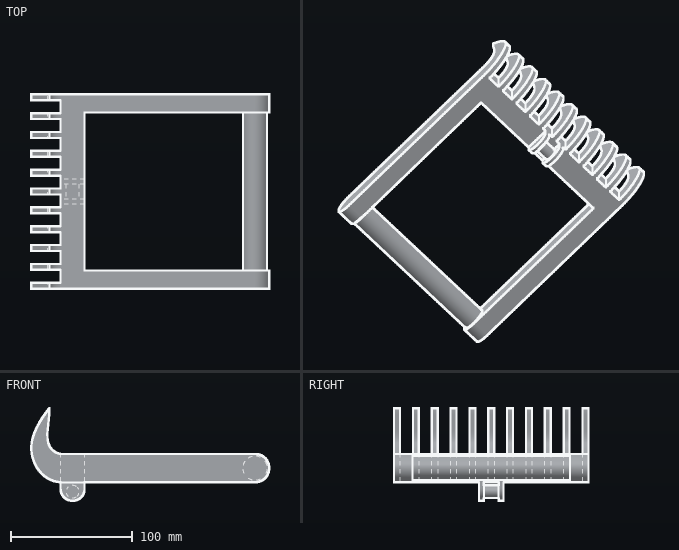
import cadquery as cq

length = 196.0
width = 160.2
frame_height = 23.5
frame_front = 24.1
front_bar_depth = 20.0
arm_width = 15.0
end_radius = frame_height / 2
end_center_x = length - end_radius
inner_width = width - 2 * arm_width

handle_radius = 10.0

prong_count = 11
prong_thickness = 5.0
prong_pitch = (width - prong_thickness) / (prong_count - 1)
prong_tip = (15.0, 61.2)
prong_belly = (0, 28.6)

lug_drop = 15.3
lug_radius = front_bar_depth / 2
lug_thickness = 4.1
lug_span = 20.2
pin_radius = 5.3
lug_center_x = frame_front + lug_radius


def y_extrude(profile, y_center, thickness):
    """Extrude an XZ profile along Y, centred on y_center."""
    return profile.extrude(thickness).translate((0, y_center + thickness / 2, 0))


def y_cylinder(x, z, radius, span):
    """Round bar along Y, centred on Y = 0."""
    return y_extrude(cq.Workplane("XZ").center(x, z).circle(radius), 0, span)


def make_arm(y_center):
    profile = (
        cq.Workplane("XZ")
        .moveTo(frame_front, 0)
        .lineTo(end_center_x, 0)
        .threePointArc((length, end_radius), (end_center_x, frame_height))
        .lineTo(frame_front, frame_height)
        .close()
    )
    return y_extrude(profile, y_center, arm_width)


def make_front_bar():
    return cq.Workplane("XY").box(
        front_bar_depth, inner_width, frame_height, centered=(False, True, False)
    ).translate((frame_front, 0, 0))


def make_prong(y_center):
    root_bottom = (frame_front, 0)
    root_top = (frame_front, frame_height)
    outer_curve = [root_bottom, (7.3, 8.6), prong_belly, (4.5, 45.0), prong_tip]
    inner_curve = [prong_tip, (13.5, 42.7), (15.7, 29.0), root_top]
    profile = (
        cq.Workplane("XZ")
        .moveTo(*root_bottom)
        .spline(outer_curve[1:], includeCurrent=True)
        .spline(inner_curve[1:], includeCurrent=True)
        .close()
    )
    return y_extrude(profile, y_center, prong_thickness)


def make_lug(y_center):
    arc_center_z = lug_radius - lug_drop
    lug_back = frame_front + front_bar_depth
    profile = (
        cq.Workplane("XZ")
        .moveTo(frame_front, 0)
        .lineTo(frame_front, arc_center_z)
        .threePointArc((lug_center_x, -lug_drop), (lug_back, arc_center_z))
        .lineTo(lug_back, 0)
        .close()
    )
    return y_extrude(profile, y_center, lug_thickness)


result = make_front_bar()

for side in (-1, 1):
    result = result.union(make_arm(side * (width - arm_width) / 2))
    result = result.union(make_lug(side * (lug_span - lug_thickness) / 2))

result = result.union(y_cylinder(end_center_x, end_radius, handle_radius, inner_width))
result = result.union(y_cylinder(lug_center_x, -lug_drop / 2, pin_radius, lug_span - 2 * lug_thickness))

for index in range(prong_count):
    prong_y = (prong_thickness - width) / 2 + index * prong_pitch
    result = result.union(make_prong(prong_y))